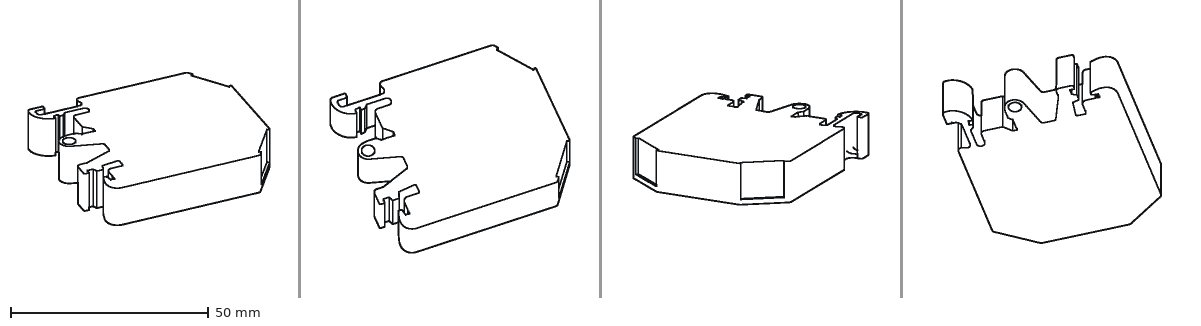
import cadquery as cq
import math

width = 44.7
height = 52.15
thickness = 11.0

shoulder_run = 10.6
shoulder_y = 44.6
shoulder_round = 0.95
recess_depth = 0.75
recess_start = 1.6
recess_length = 11.1
recess_floor_z = 1.4

stem_left = 3.6
stem_right = 5.15
lip_width = 1.4
lip_top = 4.45
hook_floor = 1.6
toe_tip_x = 6.7
toe_tip_y = 4.95
toe_centre = (1.15, 5.5)
toe_radius = 5.6

barb_bottom = 6.3
barb_top = 8.25

relief_top = 14.4
relief_round = 1.05
block_left = 7.35
block_bottom = 9.35
niche_top = 11.45
lug_root = 16.5

wave_y = 13.5
wave_round = 1.05

web_z = 1.1
web_fairing = 1.1
web_end_round = 1.7

eye_x = 18.3
eye_y = 3.45
eye_radius = 1.65
lug_radius = 2.6
lug_left = 15.5
lug_shoulder = (lug_left, 4.15)

gap_top = 10.95
gap_left_corner = (23.15, gap_top)
gap_right_corner = (26.8, gap_top)
gap_round = 0.8

leg_left = 29.95
leg_right = 34.65
leg_bottom = 0.2
catch_x = 33.4
slot_right = 34.95
ledge_y = 6.25
ledge_right = 39.85
claw_tip_x = 38.05
bead_x = 38.9
bead_half_width = 0.25
bead_height = 0.15
claw_bottom = 3.2
claw_round = 3.0


def tangent_point(point, side):
    """Point where a line from `point` touches the lug circle; side is +1 or -1 for the turn."""
    dx = point[0] - eye_x
    dy = point[1] - eye_y
    angle = math.atan2(dy, dx) + side * math.acos(lug_radius / math.hypot(dx, dy))
    return (eye_x + lug_radius * math.cos(angle), eye_y + lug_radius * math.sin(angle))


def rounded_outline(corners):
    """Closed outline through (x, y) or (x, y, radius) corners, rounded where a radius is given."""
    segments = []
    for i, corner in enumerate(corners):
        point = cq.Vector(corner[0], corner[1])
        if len(corner) == 2:
            segments.append((point,))
            continue
        before = corners[i - 1]
        after = corners[(i + 1) % len(corners)]
        to_before = (cq.Vector(before[0], before[1]) - point).normalized()
        to_after = (cq.Vector(after[0], after[1]) - point).normalized()
        half_angle = to_before.getAngle(to_after) / 2
        setback = corner[2] / math.tan(half_angle)
        arc_gap = corner[2] / math.sin(half_angle) - corner[2]
        middle = point + (to_before + to_after).normalized() * arc_gap
        segments.append((point + to_before * setback, middle, point + to_after * setback))

    outline = cq.Workplane("XY").moveTo(*segments[0][-1].toTuple()[:2])
    for segment in segments[1:] + segments[:1]:
        outline = outline.lineTo(*segment[0].toTuple()[:2])
        if len(segment) == 3:
            outline = outline.threePointArc(segment[1].toTuple()[:2], segment[2].toTuple()[:2])
    return outline.close()


def body():
    shoulders = [
        (width, shoulder_y, shoulder_round),
        (width - shoulder_run, height, shoulder_round),
        (shoulder_run, height, shoulder_round),
        (0, shoulder_y, shoulder_round),
    ]
    hooked_foot = [
        (0, wave_y, wave_round),
        (1.1, wave_y),
        (stem_left, 14.45, wave_round),
        (stem_left, hook_floor, 0.95),
        (lip_width, hook_floor, 0.4),
        (lip_width, lip_top, 0.25),
        (0, lip_top, 0.25),
        (0, 0, 1.05),
        (toe_tip_x, 0),
        (toe_tip_x, toe_tip_y),
        (5.55, toe_tip_y),
        (5.3, barb_bottom),
        (6.25, barb_bottom),
        (6.1, 7.35),
        (stem_right, barb_top),
    ]
    left_underside = [
        (stem_right, relief_top, relief_round),
        (block_left, relief_top, relief_round),
        (block_left, block_bottom, relief_round),
        (13.3, block_bottom),
        (15.35, niche_top),
        (lug_root, niche_top),
        (lug_root, 7.7),
    ]
    lug = [
        (lug_left, 6.6),
        lug_shoulder,
        tangent_point(lug_shoulder, 1),
        tangent_point(gap_left_corner, -1),
    ]
    gap = [
        (*gap_left_corner, gap_round),
        (*gap_right_corner, gap_round),
    ]
    latch_leg = [
        (leg_left, 3.0),
        (leg_left, leg_bottom, 1.05),
        (leg_right, leg_bottom, 0.35),
        (leg_right, 1.6, 0.15),
        (catch_x, 1.6),
        (catch_x, 3.25),
        (leg_right, 3.7),
        (leg_right, 5.6, 0.3),
        (32.8, 6.1),
        (32.2, gap_top, 0.45),
        (slot_right, gap_top, 0.45),
    ]
    right_claw = [
        (slot_right, ledge_y, 1.4),
        (bead_x - bead_half_width, ledge_y),
        (bead_x, ledge_y - bead_height),
        (bead_x + bead_half_width, ledge_y),
        (ledge_right, ledge_y),
        (ledge_right, 5.15),
        (claw_tip_x, 4.85),
        (claw_tip_x, 3.9),
        (40.6, claw_bottom),
        (width, claw_bottom, claw_round),
    ]
    corners = shoulders + hooked_foot + left_underside + lug + gap + latch_leg + right_claw
    return rounded_outline(corners).extrude(thickness)


def toe_trim():
    """Material outside the large round on the toe of the hooked foot."""
    overshoot = 0.5
    trim_width = toe_tip_x + overshoot - toe_centre[0]
    corner = cq.Workplane("XY").box(trim_width, toe_tip_y, thickness, centered=False)
    corner = corner.translate((toe_centre[0], 0, 0))
    disc = cq.Workplane("XY").center(*toe_centre).circle(toe_radius).extrude(thickness)
    return corner.cut(disc)


def hook_web():
    """Thin floor in the hook, with a concave rise to the stem and a concave free end."""
    overlap = 0.3
    fairing_x = stem_left - web_fairing
    fairing_z = web_z + web_fairing
    diagonal = math.sqrt(0.5)
    plan = (
        cq.Workplane("XY")
        .moveTo(lip_width - overlap, hook_floor - overlap)
        .lineTo(stem_left + overlap, hook_floor - overlap)
        .lineTo(stem_left + overlap, lip_top + web_end_round)
        .lineTo(stem_left, lip_top + web_end_round)
        .threePointArc(
            (stem_left - web_end_round * (1 - diagonal), lip_top + web_end_round * (1 - diagonal)),
            (stem_left - web_end_round, lip_top),
        )
        .lineTo(lip_width, lip_top)
        .lineTo(lip_width, lip_top - overlap)
        .lineTo(lip_width - overlap, lip_top - overlap)
        .close()
        .extrude(fairing_z)
    )
    section = (
        cq.Workplane("XZ")
        .moveTo(0, 0)
        .lineTo(stem_left + overlap, 0)
        .lineTo(stem_left + overlap, fairing_z)
        .lineTo(stem_left, fairing_z)
        .threePointArc(
            (fairing_x + web_fairing * diagonal, fairing_z - web_fairing * diagonal),
            (fairing_x, web_z),
        )
        .lineTo(0, web_z)
        .close()
        .extrude(-height)
    )
    return plan.intersect(section)


def shoulder_recess():
    """Cutter for the recess in the left shoulder, open at the top face."""
    slope = math.degrees(math.atan2(height - shoulder_y, shoulder_run))
    return (
        cq.Workplane("XY")
        .box(recess_length, 2 * recess_depth, thickness, centered=(False, True, False))
        .translate((recess_start, 0, recess_floor_z))
        .rotate((0, 0, 0), (0, 0, 1), slope)
        .translate((0, shoulder_y, 0))
    )


def lug_cylinder(radius):
    return cq.Workplane("XY").center(eye_x, eye_y).circle(radius).extrude(thickness)


left_recess = shoulder_recess()
right_recess = left_recess.mirror("YZ").translate((width, 0, 0))

result = (
    body()
    .cut(toe_trim())
    .union(hook_web())
    .union(lug_cylinder(lug_radius))
    .cut(lug_cylinder(eye_radius))
    .cut(left_recess)
    .cut(right_recess)
)